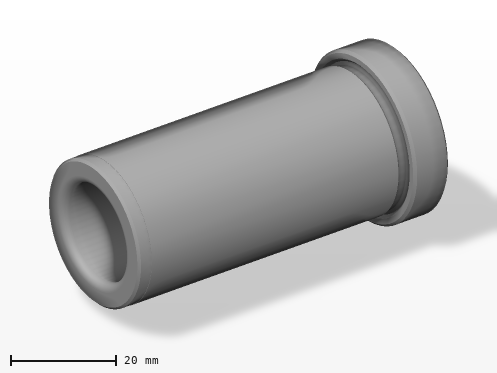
import cadquery as cq
import math

length = 70.0
head_diameter = 35.0
head_length = 8.05
body_diameter = 30.0
bore_diameter = 20.0

neck_diameter = 29.1
neck_length = 1.55

groove_diameter = 31.65

lead_diameter = 29.9
lead_length = 2.95

head_chamfer = 0.55
tip_chamfer = 0.5
bore_mouth_radius = 1.55

head_radius = head_diameter / 2
body_radius = body_diameter / 2
neck_radius = neck_diameter / 2
body_chamfer = body_radius - neck_radius
groove_radius = groove_diameter / 2
groove_depth = (groove_radius - neck_radius) / 2
lead_radius = lead_diameter / 2
bore_radius = bore_diameter / 2

tip_y = -length / 2
end_y = length / 2
head_y = end_y - head_length
neck_y = head_y - neck_length
lead_y = tip_y + lead_length


def revolved_bushing():
    """Revolve half of the bushing section (radius, Y) about the Y axis."""
    bore_arc_offset = bore_mouth_radius * (1 - math.sin(math.pi / 4))
    section = (
        cq.Workplane("XY")
        .moveTo(bore_radius + bore_mouth_radius, tip_y)
        .lineTo(lead_radius - tip_chamfer, tip_y)
        .lineTo(lead_radius, tip_y + tip_chamfer)
        .lineTo(lead_radius, lead_y)
        .lineTo(body_radius, lead_y)
        .lineTo(body_radius, neck_y - body_chamfer)
        .lineTo(neck_radius, neck_y)
        .lineTo(neck_radius, head_y)
        .lineTo(neck_radius + groove_depth, head_y + groove_depth)
        .lineTo(groove_radius, head_y)
        .lineTo(head_radius - head_chamfer, head_y)
        .lineTo(head_radius, head_y + head_chamfer)
        .lineTo(head_radius, end_y - head_chamfer)
        .lineTo(head_radius - head_chamfer, end_y)
        .lineTo(bore_radius + bore_mouth_radius, end_y)
        .threePointArc(
            (bore_radius + bore_arc_offset, end_y - bore_arc_offset),
            (bore_radius, end_y - bore_mouth_radius),
        )
        .lineTo(bore_radius, tip_y + bore_mouth_radius)
        .threePointArc(
            (bore_radius + bore_arc_offset, tip_y + bore_arc_offset),
            (bore_radius + bore_mouth_radius, tip_y),
        )
        .close()
    )
    return section.revolve(360, (0, 0, 0), (0, 1, 0))


result = revolved_bushing()